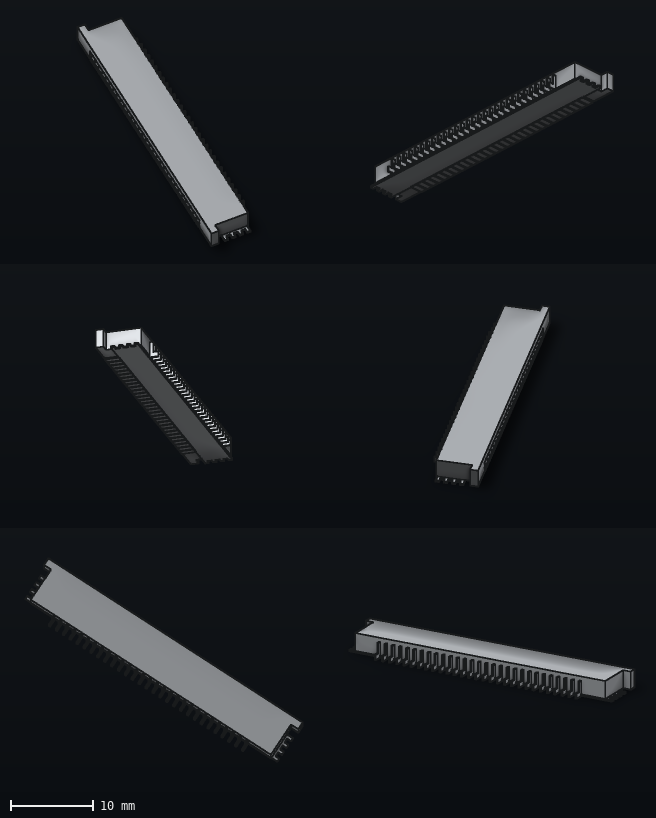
import cadquery as cq

length = 36.92
depth = 6.55
height = 2.55

body_length = 34.85
body_back = 5.45
flange_depth = 1.0
body_bottom = 0.203

plate_length = 36.6
plate_front = 1.9
plate_back = 5.35
prong_count = 4
prong_width = 0.45
notch_depth = 0.55

tooth_count = 30
tail_count = tooth_count - 1
tail_row_length = 28.02
contact_pitch = tail_row_length / (tail_count - 1)

tooth_gap = 0.2
tooth_bottom = 0.105
tooth_top = 0.65
opening_length = 30.2
opening_top = 1.55
opening_depth = plate_front

panel_relief = 0.07

tail_width = tooth_gap
tail_riser_back = 5.9
tail_riser_top = 2.0
tail_foot_top = 0.65


def block(x_range, y_range, z_range):
    """Box between two limits along each axis."""
    corner = (x_range[0], y_range[0], z_range[0])
    size = [upper - lower for lower, upper in (x_range, y_range, z_range)]
    return cq.Workplane("XY").box(*size, centered=False).translate(corner)


def centred(width, middle=0.0):
    """Limits of a stretch of the given width about its middle."""
    return (middle - width / 2, middle + width / 2)


def row_positions(count):
    """X positions of a centred row at the contact pitch."""
    return [(i - (count - 1) / 2) * contact_pitch for i in range(count)]


def repeat(shape, positions):
    """Copies of a shape moved along X to each position."""
    points = [(x, 0) for x in positions]
    return cq.Workplane("XY").pushPoints(points).eachpoint(lambda place: shape.val().moved(place))


def make_housing():
    body = block(centred(body_length), (0, body_back), (body_bottom, height))
    flange = block(centred(length), (0, flange_depth), (body_bottom, height))
    opening = block(centred(opening_length), (0, opening_depth), (body_bottom, opening_top))
    return body.union(flange).cut(opening)


def make_base_plate():
    plate = block(centred(plate_length), (plate_front, plate_back), (0, body_bottom))
    prong_pitch = (plate_back - plate_front - prong_width) / (prong_count - 1)
    for i in range(prong_count - 1):
        notch_front = plate_front + prong_width + i * prong_pitch
        notch_back = plate_front + (i + 1) * prong_pitch
        for side in (-1, 1):
            notch_middle = side * (plate_length - notch_depth) / 2
            notch = block(centred(notch_depth, notch_middle), (notch_front, notch_back), (0, body_bottom))
            plate = plate.cut(notch)
    return plate


def make_teeth():
    tooth_span = centred(contact_pitch - tooth_gap)
    tooth = block(tooth_span, (0, opening_depth), (tooth_bottom, tooth_top))
    panel = block(tooth_span, (opening_depth - panel_relief, opening_depth), (tooth_top, opening_top))
    positions = row_positions(tooth_count)
    teeth = repeat(tooth, positions)
    panels = repeat(panel, [x for x in positions if x > 0])
    return teeth.add(panels)


def make_tails():
    profile = [
        (body_back, 0),
        (depth, 0),
        (depth, tail_foot_top),
        (tail_riser_back, tail_foot_top),
        (tail_riser_back, tail_riser_top),
        (body_back, tail_riser_top),
    ]
    tail = cq.Workplane("YZ").polyline(profile).close().extrude(tail_width / 2, both=True)
    return repeat(tail, row_positions(tail_count))


result = make_housing().union(make_base_plate()).union(make_teeth()).union(make_tails())